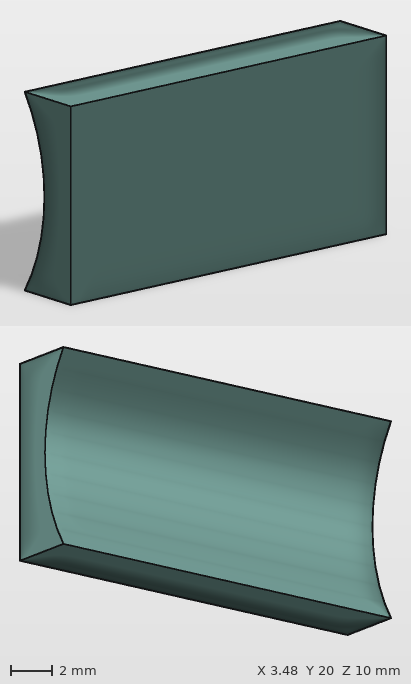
import cadquery as cq

length = 20.0
height = 10.0
depth = 3.48
web_thickness = 2.0

half_height = height / 2
groove_depth = depth - web_thickness

profile = (
    cq.Workplane("XZ")
    .moveTo(0, -half_height)
    .lineTo(depth, -half_height)
    .lineTo(depth, half_height)
    .lineTo(0, half_height)
    .threePointArc((groove_depth, 0), (0, -half_height))
    .close()
)

result = profile.extrude(length / 2, both=True)